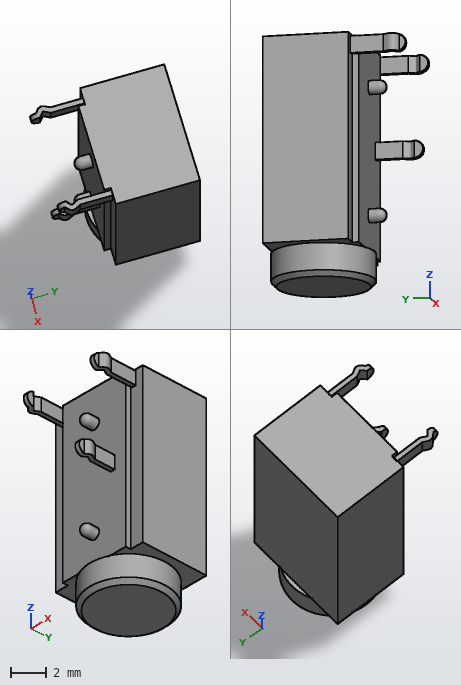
import cadquery as cq
import math

total_height = 14.0
total_depth = 8.5

barrel_diameter = 6.0
barrel_length = 1.9
barrel_chamfer = 0.31

housing_width = 7.2
housing_depth = 5.01
pad_width = 5.2
pad_height = 0.39
housing_height = total_height - barrel_length
pad_face_y = -(housing_depth + pad_height) / 2
housing_front_y = pad_face_y + pad_height

peg_diameter = 0.8
peg_length = 1.0
lower_peg_z = 4.0
peg_spacing = 7.5

terminal_width = 1.0
terminal_thickness = 0.32
terminal_tip_y = barrel_diameter / 2 - total_depth
round_end_y = terminal_tip_y + terminal_width / 2
kink_start_y = -4.33
kink_peak_y = -4.72
kink_depth = 0.21
kink_inner_radius = 0.05
kink_outer_radius = kink_inner_radius + terminal_thickness

pad_gap = 0.1
side_terminal_drop = 0.11
side_terminal_x = pad_width / 2 + pad_gap
side_tip_shift = -pad_gap
side_terminal_z = total_height - side_terminal_drop - terminal_width / 2
centre_terminal_x = 1.36
centre_tip_shift = 0.0
terminal_row_spacing = 5.29
centre_terminal_z = side_terminal_z - terminal_row_spacing


def make_housing():
    """Rectangular block and its mounting pad, as one solid."""
    block = cq.Workplane("XY").box(housing_width, housing_depth, housing_height, centered=(True, False, False))
    pad = cq.Workplane("XY").box(pad_width, pad_height, housing_height, centered=(True, False, False))
    block = block.translate((0, housing_front_y, barrel_length))
    pad = pad.translate((0, pad_face_y, barrel_length))
    return block.union(pad)


def make_barrel():
    """Round nose under the housing, chamfered at its free end."""
    barrel = cq.Workplane("XY").circle(barrel_diameter / 2).extrude(barrel_length)
    return barrel.faces("<Z").chamfer(barrel_chamfer)


def make_peg(centre_z):
    """Peg standing on the pad, revolved about its own axis."""
    radius = peg_diameter / 2
    straight_length = peg_length - radius
    arc_middle = radius * math.sqrt(0.5)
    profile = (
        cq.Workplane("XY")
        .lineTo(radius, 0)
        .lineTo(radius, -straight_length)
        .threePointArc((arc_middle, -straight_length - arc_middle), (0, -peg_length))
        .close()
    )
    return profile.revolve(360, (0, 0), (0, 1)).translate((0, pad_face_y, centre_z))


def outer_corner(before, corner, after):
    """Point across the strip from an inner corner, one thickness from both adjoining segments."""
    normals = []
    for start, end in ((before, corner), (corner, after)):
        length = math.dist(start, end)
        normals.append(((start[1] - end[1]) / length, (end[0] - start[0]) / length))
    (ax, ay), (bx, by) = normals
    scale = terminal_thickness / (1 + ax * bx + ay * by)
    return (corner[0] + scale * (ax + bx), corner[1] + scale * (ay + by))


def make_terminal(inner_x, root_y, centre_z, tip_shift):
    """Strip running toward -Y that kinks to +X, then returns to its own line plus tip_shift."""
    inner = [
        (inner_x, root_y),
        (inner_x, kink_start_y),
        (inner_x + kink_depth, kink_peak_y),
        (inner_x + tip_shift, round_end_y),
        (inner_x + tip_shift, terminal_tip_y),
    ]
    outer = [outer_corner(*inner[i - 1:i + 2]) for i in range(1, len(inner) - 1)]
    outer_root = (inner_x + terminal_thickness, root_y)
    outer_tip = (inner_x + tip_shift + terminal_thickness, terminal_tip_y)
    outline = inner + [outer_tip] + outer[::-1] + [outer_root]
    half_width = terminal_width / 2
    strip = cq.Workplane("XY").polyline(outline).close().extrude(half_width, both=True)

    inner_peak = inner[2]
    outer_peak = outer[1]
    strip = strip.edges(cq.NearestToPointSelector((*inner_peak, 0))).fillet(kink_inner_radius)
    strip = strip.edges(cq.NearestToPointSelector((*outer_peak, 0))).fillet(kink_outer_radius)

    envelope = (
        cq.Workplane("YZ")
        .moveTo(root_y, half_width)
        .lineTo(round_end_y, half_width)
        .threePointArc((terminal_tip_y, 0), (round_end_y, -half_width))
        .lineTo(root_y, -half_width)
        .close()
        .extrude(housing_width / 2)
    )
    return strip.intersect(envelope).translate((0, 0, centre_z))


housing = make_housing()
barrel = make_barrel()
pegs = [make_peg(z) for z in (lower_peg_z, lower_peg_z + peg_spacing)]

right_terminal = make_terminal(side_terminal_x, housing_front_y, side_terminal_z, side_tip_shift)
left_terminal = right_terminal.mirror("YZ")
centre_terminal = make_terminal(centre_terminal_x, pad_face_y, centre_terminal_z, centre_tip_shift)
terminals = [left_terminal, centre_terminal, right_terminal]

bodies = [housing, barrel, *pegs, *terminals]
result = cq.Compound.makeCompound([body.val() for body in bodies])